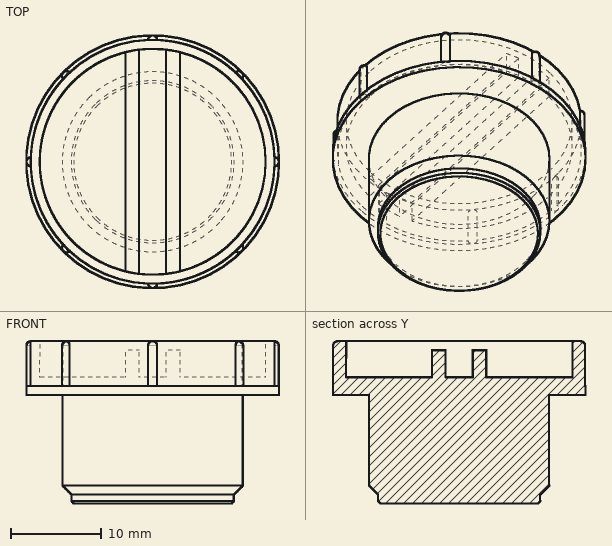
import cadquery as cq
import math

total_height = 18.0
plug_diameter = 20.0
tip_diameter = 18.0
tip_height = 1.0
tip_chamfer = 0.28
plug_taper = (plug_diameter - tip_diameter) / 2

flange_diameter = 28.0
flange_bottom = 12.0
flange_thickness = 1.0
head_diameter = 27.0
pocket_diameter = 25.0
pocket_depth = 4.0

bar_height = 3.0
bar_width = 1.5
bar_gap = 3.0

rib_count = 8
rib_radius = 0.5
rib_inset = 0.03
rib_ring_radius = flange_diameter / 2 - rib_inset - rib_radius

flange_top = flange_bottom + flange_thickness
pocket_floor = total_height - pocket_depth


def cylinder(diameter, bottom, top):
    """Cylinder on the Z axis between two heights."""
    return cq.Workplane("XY").workplane(offset=bottom).circle(diameter / 2).extrude(top - bottom)


def make_plug():
    plug_radius = plug_diameter / 2
    tip_radius = tip_diameter / 2
    half_profile = [
        (0, 0),
        (tip_radius - tip_chamfer, 0),
        (tip_radius, tip_chamfer),
        (tip_radius, tip_height),
        (plug_radius, tip_height + plug_taper),
        (plug_radius, flange_bottom),
        (0, flange_bottom),
    ]
    return cq.Workplane("XZ").polyline(half_profile).close().revolve(360, (0, 0), (0, 1))


def make_head():
    flange = cylinder(flange_diameter, flange_bottom, flange_top)
    wall = cylinder(head_diameter, flange_top, total_height)
    pocket = cylinder(pocket_diameter, pocket_floor, total_height)
    return flange.union(wall).cut(pocket)


def make_bars():
    bar_offset = (bar_gap + bar_width) / 2
    trim_diameter = (pocket_diameter + head_diameter) / 2
    bars = (
        cq.Workplane("XY")
        .workplane(offset=pocket_floor)
        .pushPoints([(-bar_offset, 0), (bar_offset, 0)])
        .rect(bar_width, flange_diameter)
        .extrude(bar_height)
    )
    return bars.intersect(cylinder(trim_diameter, pocket_floor, total_height))


def make_rib(angle):
    x = rib_ring_radius * math.cos(angle)
    y = rib_ring_radius * math.sin(angle)
    dome_center = total_height - rib_inset - rib_radius
    shaft = (
        cq.Workplane("XY")
        .workplane(offset=flange_top)
        .center(x, y)
        .circle(rib_radius)
        .extrude(dome_center - flange_top)
    )
    dome = cq.Workplane("XY").sphere(rib_radius).translate((x, y, dome_center))
    return shaft.union(dome)


result = make_plug().union(make_head()).union(make_bars())
for index in range(rib_count):
    result = result.union(make_rib(index * 2 * math.pi / rib_count))